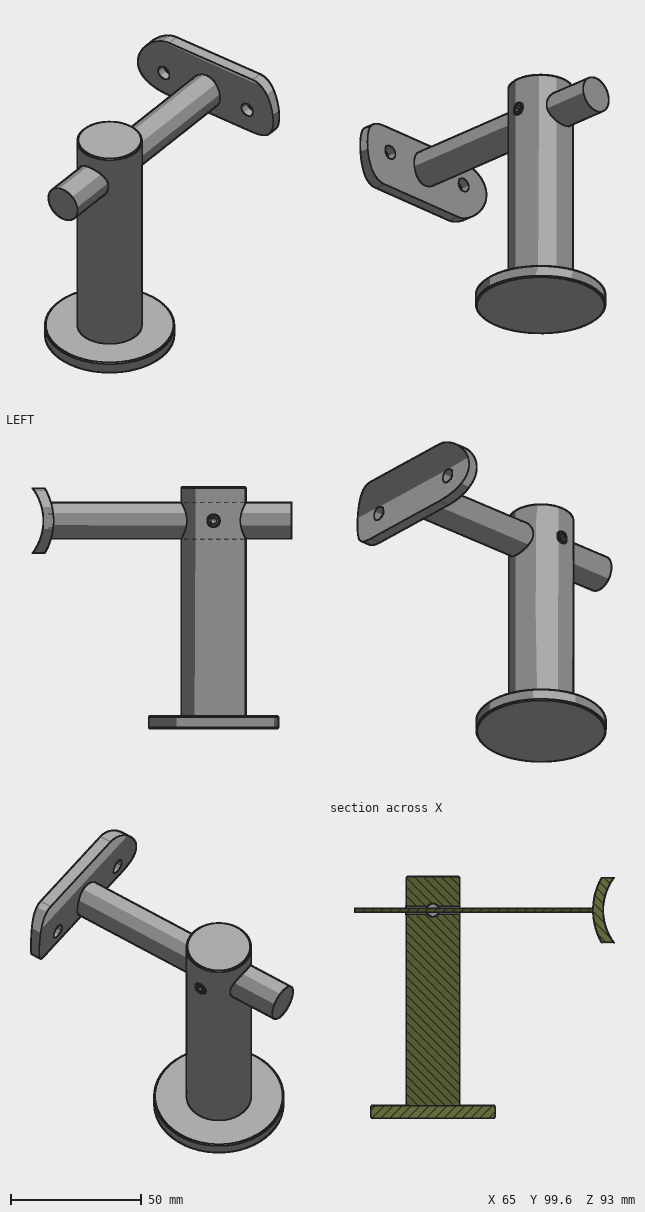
import cadquery as cq
import math

BASE_DIAMETER = 50.0
BASE_THICKNESS = 5.0
POST_DIAMETER = BASE_DIAMETER / 2
POST_TOP = 93.0
EDGE_CHAMFER = 0.5

BAR_DIAMETER = 14.0
BAR_HOLE_DIAMETER = 14.2
BAR_HEIGHT = 80.0
BAR_FRONT_REACH = 30.0

OVERALL_DEPTH = 99.6
SADDLE_LENGTH = 65.0
SADDLE_WIDTH = POST_DIAMETER
SADDLE_THICKNESS = 4.0
SADDLE_INNER_RADIUS = 20.9
SADDLE_HOLE_DIAMETER = 5.5
SADDLE_OUTER_RADIUS = SADDLE_INNER_RADIUS + SADDLE_THICKNESS
SADDLE_END_SPACING = SADDLE_LENGTH - SADDLE_WIDTH
SADDLE_BACK = OVERALL_DEPTH - BAR_FRONT_REACH
SADDLE_AXIS_Y = SADDLE_BACK + math.sqrt(SADDLE_INNER_RADIUS**2 - (SADDLE_WIDTH / 2) ** 2)

SCREW_DIAMETER = 5.0
SCREW_LENGTH = (POST_DIAMETER - BAR_DIAMETER) / 2
SCREW_CHAMFER = 0.4
SOCKET_SIDES = 6
SOCKET_ACROSS_FLATS = 2.5
SOCKET_DEPTH = 2.0
SOCKET_CONE_DEPTH = 0.7


def cylinder_along_y(diameter, start_y, end_y, x=0.0):
    """Cylinder at bar height from start_y to end_y."""
    axis_start = cq.Vector(x, start_y, BAR_HEIGHT)
    solid = cq.Solid.makeCylinder(diameter / 2, end_y - start_y, axis_start, cq.Vector(0, 1, 0))
    return cq.Workplane(obj=solid)


def saddle_cylinder(radius):
    """Cylinder along X about the saddle's axis, as long as the saddle."""
    axis_start = cq.Vector(-SADDLE_LENGTH / 2, SADDLE_AXIS_Y, BAR_HEIGHT)
    solid = cq.Solid.makeCylinder(radius, SADDLE_LENGTH, axis_start, cq.Vector(1, 0, 0))
    return cq.Workplane(obj=solid)


def make_base():
    """Round foot with both rims chamfered."""
    disc = cq.Workplane("XY").circle(BASE_DIAMETER / 2).extrude(BASE_THICKNESS)
    return disc.edges().chamfer(EDGE_CHAMFER)


def make_post():
    """Round post with a cross hole for the bar and a side hole for the set screw."""
    post_radius = POST_DIAMETER / 2
    post = (
        cq.Workplane("XY", origin=(0, 0, BASE_THICKNESS))
        .circle(post_radius)
        .extrude(POST_TOP - BASE_THICKNESS)
        .faces(">Z")
        .edges()
        .chamfer(EDGE_CHAMFER)
    )
    screw_hole = (
        cq.Workplane("YZ", origin=(-post_radius, 0, BAR_HEIGHT))
        .circle(SCREW_DIAMETER / 2)
        .extrude(post_radius)
    )
    bar_hole = cylinder_along_y(BAR_HOLE_DIAMETER, -post_radius, post_radius)
    return post.cut(bar_hole).cut(screw_hole)


def make_bar():
    """Round bar whose far end is shaped to the saddle's outer face."""
    bar = cylinder_along_y(BAR_DIAMETER, -BAR_FRONT_REACH, SADDLE_BACK)
    return bar.cut(saddle_cylinder(SADDLE_OUTER_RADIUS))


def make_saddle():
    """Round-ended plate, curved about an axis along X, with two screw holes."""
    front_y = SADDLE_AXIS_Y - SADDLE_OUTER_RADIUS
    outline = (
        cq.Workplane("XZ", origin=(0, front_y, BAR_HEIGHT))
        .slot2D(SADDLE_LENGTH, SADDLE_WIDTH)
        .extrude(front_y - SADDLE_BACK)
    )
    shell = saddle_cylinder(SADDLE_OUTER_RADIUS).cut(saddle_cylinder(SADDLE_INNER_RADIUS))
    saddle = outline.intersect(shell)
    for side in (-1, 1):
        hole_x = side * SADDLE_END_SPACING / 2
        saddle = saddle.cut(cylinder_along_y(SADDLE_HOLE_DIAMETER, front_y, SADDLE_BACK, hole_x))
    return saddle


def make_set_screw():
    """Headless screw bearing on the bar, with a hexagon socket that ends in a cone."""
    tip_x = -BAR_DIAMETER / 2
    head_x = tip_x - SCREW_LENGTH
    screw = (
        cq.Workplane("YZ", origin=(head_x, 0, BAR_HEIGHT))
        .circle(SCREW_DIAMETER / 2)
        .extrude(SCREW_LENGTH)
        .faces("<X")
        .edges()
        .chamfer(SCREW_CHAMFER)
    )
    across_corners = SOCKET_ACROSS_FLATS / math.cos(math.pi / SOCKET_SIDES)
    socket = (
        cq.Workplane("YZ", origin=(head_x, 0, BAR_HEIGHT))
        .transformed(rotate=(0, 0, 90))
        .polygon(SOCKET_SIDES, across_corners)
        .extrude(SOCKET_DEPTH)
    )
    cone_base = cq.Vector(head_x + SOCKET_DEPTH, 0, BAR_HEIGHT)
    cone = cq.Solid.makeCone(SOCKET_ACROSS_FLATS / 2, 0, SOCKET_CONE_DEPTH, cone_base, cq.Vector(1, 0, 0))
    return screw.cut(socket).cut(cq.Workplane(obj=cone))


base = make_base()
post = make_post()
bar = make_bar()
saddle = make_saddle()
set_screw = make_set_screw()

result = cq.Compound.makeCompound([base.val(), post.val(), bar.val(), saddle.val(), set_screw.val()])